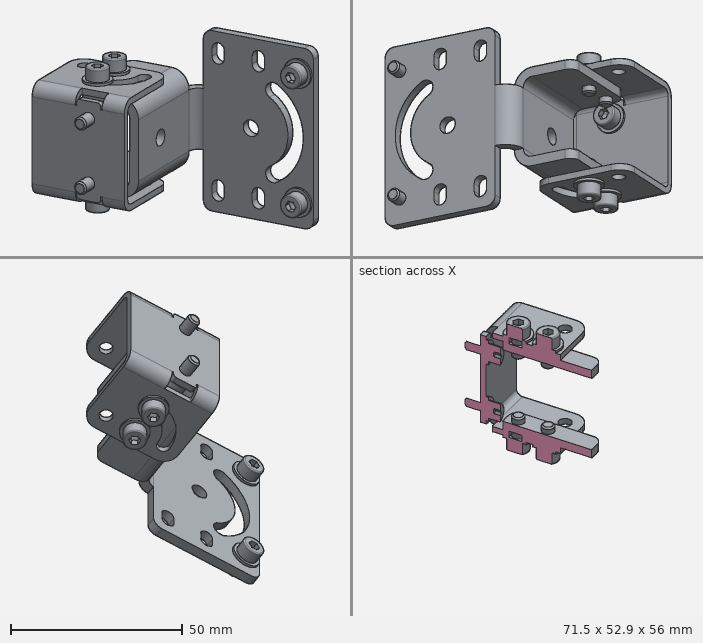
import cadquery as cq
import math


clamp_width = 31.0
clamp_depth = 27.0
clamp_height = 35.0
clamp_gauge = 2.0
clamp_bend_radius = 4.0
clamp_corner_radius = 5.0

bracket_gauge = 3.0
bracket_bend_radius = 6.0
bracket_corner_radius = 3.0
channel_height = clamp_height - 2 * clamp_gauge
channel_width = 20.0
channel_length = 30.0
channel_right = 31.5
channel_left = channel_right - channel_width
channel_front = 7.5
channel_back = channel_front + channel_length
neck_height = channel_height - 2 * bracket_bend_radius
plate_left = channel_right - bracket_gauge + bracket_bend_radius
plate_width = 37.0
plate_height = 56.0
plate_right = plate_left + plate_width
plate_back = channel_back + bracket_bend_radius
plate_front = plate_back - bracket_gauge

shank_diameter = 4.0
shank_length = 8.0
shank_chamfer = 0.5
head_diameter = 7.0
head_height = 4.0
head_rounding = 0.4
washer_diameter = 9.0
washer_thickness = 0.8
socket_across_flats = 3.0
socket_depth = 2.0
socket_point_angle = 120.0

small_hole = 4.1
large_hole = 5.1
pivot_x = clamp_width / 2
pivot_y = 21.5
swing_radius = 10.0
clamp_hole_x = pivot_x - swing_radius
web_hole_y = 20.5
plate_hole_x = plate_left + 16.0
plate_arc_radius = 15.0
plate_arc_width = large_hole
plate_arc_half_angle = 60.0
oval_width = small_hole
oval_travel = 2.5
oval_length = oval_travel + oval_width
oval_z = 21.25
oval_x_positions = (plate_left + 5.0, plate_left + 18.5)

web_screw_x = 19.0
web_screw_z = 10.0
plate_screw_x = plate_right - 5.0
plate_screw_z = 20.0

notch_width = 9.0
notch_corner_radius = 0.25
tab_width = 8.0
tab_corner_radius = 1.0


def block(x_range, y_range, z_range):
    """Box given by its limits along each axis."""
    size = [high - low for low, high in (x_range, y_range, z_range)]
    corner = (x_range[0], y_range[0], z_range[0])
    return cq.Workplane("XY").box(*size, centered=False).translate(corner)


def arc_slot(radius, width, start_deg, end_deg, depth):
    """Round-ended slot along an arc about the origin, extruded along +Z from Z = 0."""
    def polar(r, degrees):
        angle = math.radians(degrees)
        return (r * math.cos(angle), r * math.sin(angle))

    middle_deg = (start_deg + end_deg) / 2
    inner = radius - width / 2
    outer = radius + width / 2
    band = (
        cq.Workplane("XY")
        .moveTo(*polar(inner, start_deg))
        .threePointArc(polar(inner, middle_deg), polar(inner, end_deg))
        .lineTo(*polar(outer, end_deg))
        .threePointArc(polar(outer, middle_deg), polar(outer, start_deg))
        .close()
        .extrude(depth)
    )
    ends = [polar(radius, start_deg), polar(radius, end_deg)]
    caps = cq.Workplane("XY").pushPoints(ends).circle(width / 2).extrude(depth)
    return band.union(caps)


def make_screw():
    """Cap screw along Z: the washer rests on Z = 0, head upward and shank downward."""
    head_base = washer_thickness
    head_top = head_base + head_height
    washer = cq.Workplane("XY").circle(washer_diameter / 2).extrude(washer_thickness)
    head = (
        cq.Workplane("XY", origin=(0, 0, head_base))
        .circle(head_diameter / 2)
        .extrude(head_height)
        .faces(">Z").edges().fillet(head_rounding)
    )
    shank = (
        cq.Workplane("XY", origin=(0, 0, head_base))
        .circle(shank_diameter / 2)
        .extrude(-shank_length)
        .faces("<Z").edges().chamfer(shank_chamfer)
    )

    across_corners = socket_across_flats / math.cos(math.radians(30))
    point_radius = across_corners / 2
    point_depth = point_radius / math.tan(math.radians(socket_point_angle / 2))
    hexagon = (
        cq.Workplane("XY", origin=(0, 0, head_top))
        .polygon(6, across_corners)
        .extrude(-socket_depth - point_depth)
    )
    drill = (
        cq.Workplane("XZ")
        .moveTo(0, head_top)
        .lineTo(point_radius, head_top)
        .lineTo(point_radius, head_top - socket_depth)
        .lineTo(0, head_top - socket_depth - point_depth)
        .close()
        .revolve(360, (0, 0, 0), (0, 1, 0))
    )
    return washer.union(head).union(shank).cut(hexagon.intersect(drill))


def make_clamp():
    half_height = clamp_height / 2
    bend_z = half_height - clamp_bend_radius
    inner_z = half_height - clamp_gauge
    x_range = (0, clamp_width)

    clamp = (
        block(x_range, (0, clamp_depth), (-half_height, half_height))
        .edges("|X and <Y").fillet(clamp_bend_radius)
        .edges("|Z and >Y").fillet(clamp_corner_radius)
    )
    cavity = (
        block(x_range, (clamp_gauge, clamp_depth), (-inner_z, inner_z))
        .edges("|X and <Y").fillet(clamp_bend_radius - clamp_gauge)
    )
    clamp = clamp.cut(cavity)

    hole = (
        cq.Workplane("XY", origin=(clamp_hole_x, pivot_y, -half_height))
        .circle(small_hole / 2)
        .extrude(clamp_height)
    )
    slot = arc_slot(swing_radius, small_hole, -90, 0, clamp_height)
    clamp = clamp.cut(hole).cut(slot.translate((pivot_x, pivot_y, -half_height)))

    notch_left = web_screw_x - notch_width / 2
    tab_left = web_screw_x - tab_width / 2
    notch = (
        block((notch_left, notch_left + notch_width), (0, clamp_bend_radius), (bend_z, half_height))
        .edges("|Z and >Y").fillet(notch_corner_radius)
    )
    tab = (
        block((tab_left, tab_left + tab_width), (0, clamp_gauge), (bend_z, inner_z))
        .edges("|Y and >Z").fillet(tab_corner_radius)
    )
    clamp = clamp.cut(notch).cut(notch.mirror("XY"))
    return clamp.union(tab).union(tab.mirror("XY"))


def make_channel():
    half_height = channel_height / 2
    inner_z = half_height - bracket_gauge
    y_range = (channel_front, channel_back)

    channel = (
        block((channel_left, channel_right), y_range, (-half_height, half_height))
        .edges("|Y and >X").fillet(bracket_bend_radius)
        .edges("|Z and <X").fillet(bracket_corner_radius)
    )
    cavity = (
        block((channel_left, channel_right - bracket_gauge), y_range, (-inner_z, inner_z))
        .edges("|Y and >X").fillet(bracket_bend_radius - bracket_gauge)
    )
    hole = (
        cq.Workplane("YZ", origin=(channel_left, web_hole_y, 0))
        .circle(large_hole / 2)
        .extrude(channel_width)
    )
    return channel.cut(cavity).cut(hole)


def make_neck():
    """Quarter bend that turns the channel web into the plate."""
    bend_left = plate_left - bracket_bend_radius
    ring = (
        cq.Workplane("XY", origin=(plate_left, channel_back, -neck_height / 2))
        .circle(bracket_bend_radius)
        .circle(bracket_bend_radius - bracket_gauge)
        .extrude(neck_height)
    )
    half_neck = neck_height / 2
    quarter = block((bend_left, plate_left), (channel_back, plate_back), (-half_neck, half_neck))
    return ring.intersect(quarter)


def make_plate():
    half_height = plate_height / 2
    plate = (
        block((plate_left, plate_right), (plate_front, plate_back), (-half_height, half_height))
        .edges("|Y").fillet(bracket_corner_radius)
    )
    ovals = [(x, z) for x in oval_x_positions for z in (-oval_z, oval_z)]
    openings = (
        cq.Workplane("XZ", origin=(0, plate_back, 0))
        .pushPoints(ovals)
        .slot2D(oval_length, oval_width, 90)
        .extrude(bracket_gauge)
    )
    hole = (
        cq.Workplane("XZ", origin=(plate_hole_x, plate_back, 0))
        .circle(large_hole / 2)
        .extrude(bracket_gauge)
    )
    arc = (
        arc_slot(
            plate_arc_radius,
            plate_arc_width,
            -plate_arc_half_angle,
            plate_arc_half_angle,
            bracket_gauge,
        )
        .rotate((0, 0, 0), (1, 0, 0), 90)
        .translate((plate_hole_x, plate_back, 0))
    )
    return plate.cut(openings).cut(hole).cut(arc)


def make_screws():
    screw = make_screw()
    head_up = screw.rotate((0, 0, 0), (0, 0, 1), 90)
    head_down = head_up.rotate((0, 0, 0), (1, 0, 0), 180)
    head_front = screw.rotate((0, 0, 0), (1, 0, 0), 90)
    head_back = screw.rotate((0, 0, 0), (1, 0, 0), -90)

    placed = []
    for y in (pivot_y, pivot_y - swing_radius):
        placed.append(head_up.translate((pivot_x, y, clamp_height / 2)))
        placed.append(head_down.translate((pivot_x, y, -clamp_height / 2)))
    for side in (-1, 1):
        placed.append(head_back.translate((web_screw_x, clamp_gauge, side * web_screw_z)))
        placed.append(head_front.translate((plate_screw_x, plate_front, side * plate_screw_z)))
    return placed


result = make_clamp().union(make_channel()).union(make_neck()).union(make_plate())
for placed_screw in make_screws():
    result = result.union(placed_screw)